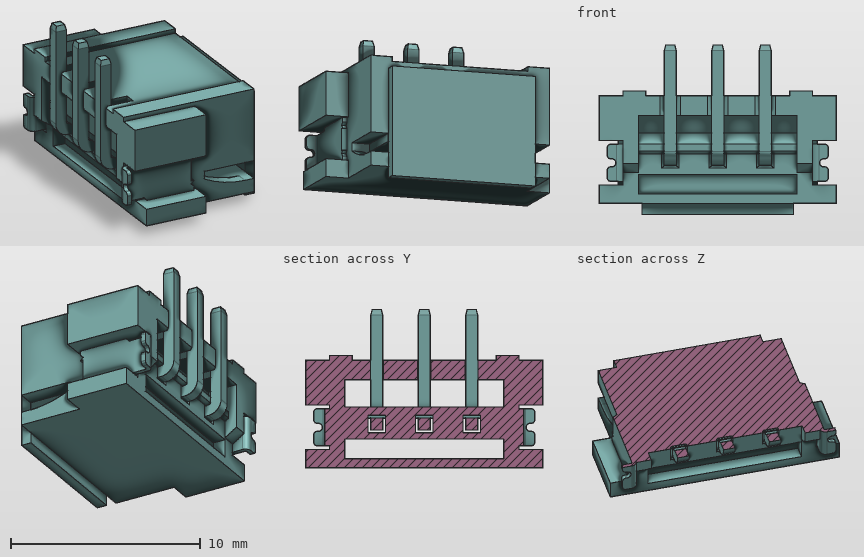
import cadquery as cq
import math


body_width = 10.0
body_depth = 7.79
deck_height = 5.68
rail_height = 5.92
rail_width = 1.21
lower_front = 0.7
bevel_top = 2.09
bevel_bottom = 1.62

flange_width = 8.0
flange_bottom = -0.6
flange_top = 5.3
flange_thickness = 0.56

overall_width = 12.5
ear_back = 4.26
lower_ear_top = 0.96
upper_ear_bottom = 3.3

opening_width = 8.38
opening_top = 4.62
opening_back = 1.71
ledge_front = 0.48
ledge_back_height = 3.7
ledge_front_height = 3.11
lip_height = 2.75
lip_root_height = 2.6

panel_bottom = 0.49
panel_top = 1.51
panel_depth = 0.71

pin_count = 3
pin_pitch = 2.5
pin_size = 0.64
pin_front = -0.21
pin_top = 8.35
pin_bottom = 1.99
pin_embed_back = 2.5
pin_bend_radius = 0.75
pin_tip_length = 0.3
pin_tip_inset = 0.08
pin_slot_clearance = 0.02
slot_flare = 0.2
hole_flare = 0.14

window_depth = 0.98
window_front = 4.82
window_bottom = 0.76
window_top = 1.79
passage_top = 1.35
ramp_width = 0.66
ramp_start = 7.25

tab_thickness = 0.25
tab_bend_radius = 0.32
tab_tip = 5.82
tab_back = 4.06
tab_trim = 0.19
tab_trim_start = 1.09
tab_corner_radius = 0.19
tab_notch_radius = 0.206
tab_notch_depth = 0.45
barb_depth = 0.16
barb_edge_offset = 0.25

half_body = body_width / 2
half_flange = flange_width / 2
window_wall = half_body - window_depth
pin_positions = [(i - (pin_count - 1) / 2) * pin_pitch for i in range(pin_count)]


def box(x_range, y_range, z_range):
    """Axis-aligned block spanning the given (low, high) ranges."""
    spans = [high - low for low, high in (x_range, y_range, z_range)]
    corner = (x_range[0], y_range[0], z_range[0])
    return cq.Workplane("XY").box(*spans, centered=False).translate(corner)


def side_profile(points, x_range):
    """Closed (Y, Z) polygon extruded over a range of X."""
    outline = cq.Workplane("YZ", origin=(x_range[0], 0, 0)).polyline(points).close()
    return outline.extrude(x_range[1] - x_range[0])


def mirrored(left_side):
    """A feature of the -X side together with its mirror image."""
    return left_side.union(left_side.mirror("YZ"))


def make_housing():
    profile = [
        (lower_front, 0),
        (body_depth, 0),
        (body_depth, deck_height),
        (0, deck_height),
        (0, bevel_top),
        (lower_front, bevel_bottom),
    ]
    body = side_profile(profile, (-half_body, half_body))
    rail = box((-half_body, -half_body + rail_width), (0, body_depth), (deck_height, rail_height))
    ear_span = (-overall_width / 2, -half_body)
    upper_ear = box(ear_span, (0, ear_back), (upper_ear_bottom, deck_height))
    lower_ear = box(ear_span, (lower_front, ear_back), (0, lower_ear_top))
    flange = box(
        (-half_flange, half_flange),
        (body_depth, body_depth + flange_thickness),
        (flange_bottom, flange_top),
    )
    return body.union(flange).union(mirrored(rail.union(upper_ear).union(lower_ear)))


def make_front_opening():
    profile = [
        (0, opening_top),
        (opening_back, opening_top),
        (opening_back, ledge_back_height),
        (ledge_front, ledge_front_height),
        (ledge_front, lip_height),
        (lower_front, lip_root_height),
        (lower_front, bevel_bottom),
        (0, bevel_bottom),
    ]
    return side_profile(profile, (-opening_width / 2, opening_width / 2))


def make_panel_recess():
    half_width = opening_width / 2
    return box((-half_width, half_width), (0, lower_front + panel_depth), (panel_bottom, panel_top))


def make_pin_slot(x):
    """Slot through the roof behind a pin, flared at the front face."""
    half_slot = (pin_size + pin_slot_clearance) / 2
    half_mouth = half_slot + slot_flare
    outline = [
        (x - half_mouth, 0),
        (x - half_slot, slot_flare),
        (x - half_slot, opening_back),
        (x + half_slot, opening_back),
        (x + half_slot, slot_flare),
        (x + half_mouth, 0),
    ]
    roof = cq.Workplane("XY", origin=(0, 0, opening_top)).polyline(outline).close()
    return roof.extrude(deck_height - opening_top)


def make_hole_flare(x):
    """Tapered mouth around the place where a pin leaves the lower front face."""
    mouth = pin_size + 2 * hole_flare
    center_height = pin_bottom + pin_size / 2
    face = cq.Workplane("XZ", origin=(x, lower_front, center_height)).rect(mouth, mouth)
    return face.extrude(-hole_flare, taper=45)


def make_pin(x):
    """Square pin running forward out of the housing and bending upward."""
    inner_radius = pin_bend_radius - pin_size
    bend_y = pin_front + pin_bend_radius
    bend_z = pin_bottom + pin_bend_radius
    pin_back = pin_front + pin_size
    shoulder = pin_top - pin_tip_length
    diagonal = math.sqrt(0.5)
    shank = (
        cq.Workplane("YZ", origin=(x - pin_size / 2, 0, 0))
        .moveTo(pin_embed_back, pin_bottom)
        .lineTo(bend_y, pin_bottom)
        .threePointArc(
            (bend_y - pin_bend_radius * diagonal, bend_z - pin_bend_radius * diagonal),
            (pin_front, bend_z),
        )
        .lineTo(pin_front, shoulder)
        .lineTo(pin_back, shoulder)
        .lineTo(pin_back, bend_z)
        .threePointArc(
            (bend_y - inner_radius * diagonal, bend_z - inner_radius * diagonal),
            (bend_y, pin_bottom + pin_size),
        )
        .lineTo(pin_embed_back, pin_bottom + pin_size)
        .close()
        .extrude(pin_size)
    )
    tip_size = pin_size - 2 * pin_tip_inset
    tip = (
        cq.Workplane("XY", origin=(x, pin_front + pin_size / 2, shoulder))
        .rect(pin_size, pin_size)
        .workplane(offset=pin_tip_length)
        .rect(tip_size, tip_size)
        .loft(ruled=True)
    )
    return shank.union(tip)


def make_window():
    """Recess in the -X side with a floor whose outer part ramps up toward the front."""
    ramp_edge = -half_body + ramp_width
    outer = (
        cq.Workplane("YZ", origin=(-half_body, 0, 0))
        .moveTo(window_front, window_top)
        .lineTo(body_depth, window_top)
        .lineTo(body_depth, window_bottom)
        .lineTo(ramp_start, window_bottom)
        .tangentArcPoint((window_front, passage_top), relative=False)
        .close()
        .extrude(ramp_width)
    )
    inner = box((ramp_edge, -window_wall), (window_front, body_depth), (window_bottom, window_top))
    return outer.union(inner)


def make_passage():
    """Passage joining the two side windows."""
    return box(
        (-window_wall, window_wall),
        (window_front, body_depth),
        (window_bottom, passage_top),
    )


def make_solder_tab():
    """Bent metal strip on the -X side, held between the two ears."""
    bend_x = -half_body - tab_bend_radius
    bend_y = pin_front + tab_bend_radius
    inner_radius = tab_bend_radius - tab_thickness
    diagonal = math.sqrt(0.5)
    bent_strip = (
        cq.Workplane("XY", origin=(0, 0, lower_ear_top))
        .moveTo(-half_body, tab_back)
        .lineTo(-half_body, bend_y)
        .threePointArc(
            (bend_x + tab_bend_radius * diagonal, bend_y - tab_bend_radius * diagonal),
            (bend_x, pin_front),
        )
        .lineTo(-tab_tip, pin_front)
        .lineTo(-tab_tip, pin_front + tab_thickness)
        .lineTo(bend_x, pin_front + tab_thickness)
        .threePointArc(
            (bend_x + inner_radius * diagonal, bend_y - inner_radius * diagonal),
            (bend_x + inner_radius, bend_y),
        )
        .lineTo(bend_x + inner_radius, tab_back)
        .close()
        .extrude(upper_ear_bottom - lower_ear_top)
    )

    low = lower_ear_top
    high = upper_ear_bottom
    notch_low = low + barb_edge_offset
    notch_high = high - barb_edge_offset
    barb_tip = tab_back - barb_depth
    outline = [
        (pin_front, low + tab_trim),
        (tab_trim_start, low + tab_trim),
        (tab_trim_start + tab_trim, low),
        (tab_back, low),
        (tab_back, notch_low),
        (barb_tip, notch_low + barb_depth),
        (tab_back, notch_low + 2 * barb_depth),
        (tab_back, notch_high - 2 * barb_depth),
        (barb_tip, notch_high - barb_depth),
        (tab_back, notch_high),
        (tab_back, high),
        (tab_trim_start + tab_trim, high),
        (tab_trim_start, high - tab_trim),
        (pin_front, high - tab_trim),
    ]
    strip = bent_strip.intersect(side_profile(outline, (-tab_tip, -half_body)))

    wedge = (
        cq.Workplane("XY", origin=(0, 0, notch_low + 2 * barb_depth))
        .moveTo(-half_body, tab_back)
        .lineTo(-half_body - tab_thickness, tab_back)
        .lineTo(-half_body - tab_thickness, barb_tip)
        .close()
        .extrude(notch_high - notch_low - 4 * barb_depth)
    )
    strip = strip.cut(wedge)

    middle = (low + high) / 2
    notch_center = -tab_tip + tab_notch_depth - tab_notch_radius
    notch_y = (pin_front, pin_front + tab_thickness)
    notch = box(
        (-tab_tip, notch_center),
        notch_y,
        (middle - tab_notch_radius, middle + tab_notch_radius),
    )
    notch_end = (
        cq.Workplane("XZ", origin=(notch_center, notch_y[0], middle))
        .circle(tab_notch_radius)
        .extrude(-tab_thickness)
    )
    strip = strip.cut(notch).cut(notch_end)
    return strip.faces("<X").edges("|Y").fillet(tab_corner_radius)


result = make_housing()
result = result.cut(make_front_opening()).cut(make_panel_recess())
for pin_x in pin_positions:
    result = result.cut(make_pin_slot(pin_x)).cut(make_hole_flare(pin_x))
result = result.cut(mirrored(make_window())).cut(make_passage())
for pin_x in pin_positions:
    result = result.union(make_pin(pin_x))
result = result.union(mirrored(make_solder_tab()))